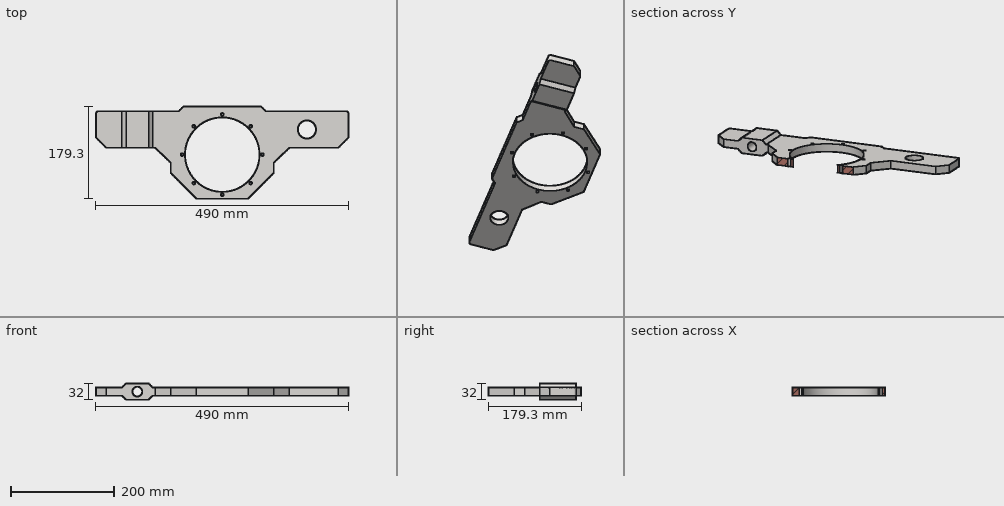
import cadquery as cq

length = 490.0
thickness = 16.0
half_length = length / 2

arm_top = 84.5
arm_bottom = 13.0
arm_middle = (arm_top + arm_bottom) / 2
arm_end_chamfer = 20.0
arm_corner_radius = 5.0

body_top = 93.5
body_bottom = -85.8
body_top_half_width = 75.0
body_shoulder_half_width = 84.5
body_half_width = 100.0
body_side_top = -15.5
body_bottom_chamfer = 50.0
web_half_width = 130.5

bore_diameter = 144.0
bolt_circle_radius = 78.0
bolt_hole_diameter = 5.0
bolt_count = 8
arm_hole_x = 164.0
arm_hole_diameter = 35.0

boss_x = -164.5
boss_height = 32.0
boss_base_width = 60.0
boss_crest_width = 43.5
boss_hole_diameter = 18.5


def make_plate():
    """Plate outline, symmetric about X = 0, with rounded outer top corners."""
    right_side = [
        (body_top_half_width, body_top),
        (body_shoulder_half_width, arm_top),
        (half_length, arm_top),
        (half_length, arm_bottom + arm_end_chamfer),
        (half_length - arm_end_chamfer, arm_bottom),
        (web_half_width, arm_bottom),
        (body_half_width, body_side_top),
        (body_half_width, body_bottom + body_bottom_chamfer),
        (body_half_width - body_bottom_chamfer, body_bottom),
    ]
    left_side = [(-x, y) for x, y in reversed(right_side)]
    plate = (
        cq.Workplane("XY", origin=(0, 0, -thickness / 2))
        .polyline(right_side + left_side)
        .close()
        .extrude(thickness)
    )
    for end_face in ("<X", ">X"):
        plate = plate.faces(end_face).edges("|Z and >Y").fillet(arm_corner_radius)
    return plate


def make_boss():
    """Octagonal bar spanning the arm from front to back."""
    half_base = boss_base_width / 2
    half_crest = boss_crest_width / 2
    upper_side = [
        (boss_x - half_base, thickness / 2),
        (boss_x - half_crest, boss_height / 2),
        (boss_x + half_crest, boss_height / 2),
        (boss_x + half_base, thickness / 2),
    ]
    lower_side = [(x, -z) for x, z in reversed(upper_side)]
    return (
        cq.Workplane("XZ", origin=(0, arm_top, 0))
        .polyline(upper_side + lower_side)
        .close()
        .extrude(arm_top - arm_bottom)
    )


def vertical_hole(x, y, diameter):
    """Cutter running through the full plate thickness."""
    return (
        cq.Workplane("XY", origin=(x, y, -thickness / 2))
        .circle(diameter / 2)
        .extrude(thickness)
    )


bolt_holes = (
    cq.Workplane("XY", origin=(0, 0, -thickness / 2))
    .polarArray(bolt_circle_radius, 0, 360, bolt_count)
    .circle(bolt_hole_diameter / 2)
    .extrude(thickness)
)

boss_hole = (
    cq.Workplane("XZ", origin=(boss_x, arm_top, 0))
    .circle(boss_hole_diameter / 2)
    .extrude(arm_top - arm_bottom)
)

result = (
    make_plate()
    .union(make_boss())
    .cut(vertical_hole(0, 0, bore_diameter))
    .cut(vertical_hole(arm_hole_x, arm_middle, arm_hole_diameter))
    .cut(bolt_holes)
    .cut(boss_hole)
)